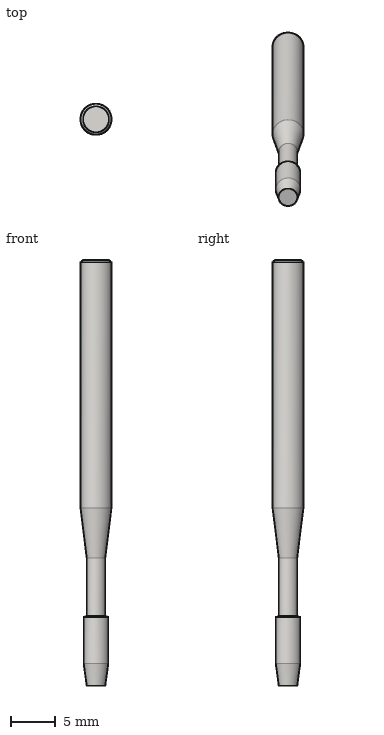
import cadquery as cq


shank_diameter = 3.5
neck_diameter = 2.1
cutter_diameter = 2.78
tip_diameter = 2.1

overall_length = 47.6
tip_length = 2.5
cutter_length = 7.8
shoulder_length = 0.12
neck_length = 6.5
cone_length = 5.6
shank_chamfer_length = 0.3
shank_chamfer_width = 0.3

cutter_top = cutter_length
shoulder_bottom = cutter_top - shoulder_length
neck_top = cutter_top + neck_length
cone_top = neck_top + cone_length
chamfer_bottom = overall_length - shank_chamfer_length

shank_radius = shank_diameter / 2
neck_radius = neck_diameter / 2
cutter_radius = cutter_diameter / 2
tip_radius = tip_diameter / 2
shank_end_radius = shank_radius - shank_chamfer_width


def turned_body(outline):
    """Revolve a closed (radius, height) outline about the Z axis."""
    return cq.Workplane("XZ").polyline(outline).close().revolve(360, (0, 0, 0), (0, 1, 0))


cutter = turned_body([
    (0, 0),
    (tip_radius, 0),
    (cutter_radius, tip_length),
    (cutter_radius, shoulder_bottom),
    (neck_radius, cutter_top),
    (0, cutter_top),
])

shank = turned_body([
    (0, cutter_top),
    (neck_radius, cutter_top),
    (neck_radius, neck_top),
    (shank_radius, cone_top),
    (shank_radius, chamfer_bottom),
    (shank_end_radius, overall_length),
    (0, overall_length),
])

result = cq.Compound.makeCompound([cutter.val(), shank.val()])